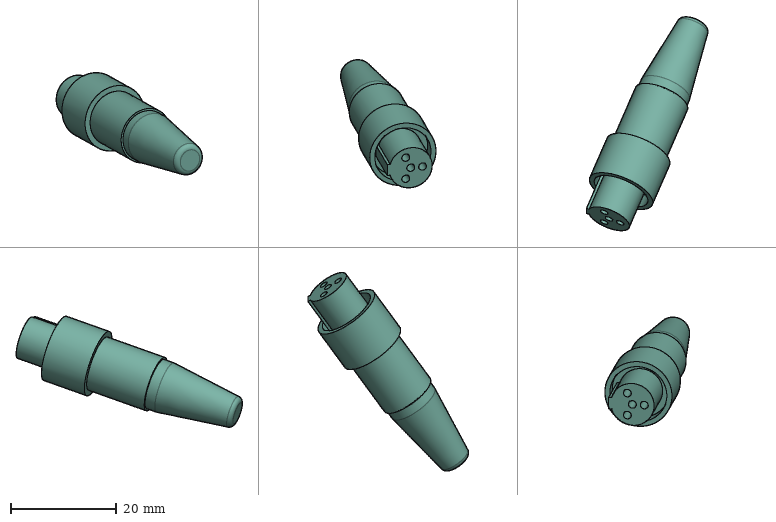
import cadquery as cq

overall_length = 44.25

insert_diameter = 8.4
key_reach = 4.6
key_width = 2.3

collar_start = 6.3
collar_end = 15.2
collar_diameter = 13.0
collar_bore_diameter = 11.0
bore_depth = 2.7
bore_floor = collar_start + bore_depth

socket_diameter = 1.5
side_socket_offset = 2.3
pair_socket_y = 0.97
pair_socket_z = 2.2
socket_depth = collar_start

body_end = 27.2
body_diameter = 10.8
boot_diameter = 10.0
taper_start = 29.25
taper_end_diameter = 6.0
tip_radius = 1.0


def axial_cylinder(diameter, start, end, y=0.0, z=0.0):
    """Cylinder parallel to X, centred on the given Y and Z."""
    return (
        cq.Workplane("YZ", origin=(start, y, z))
        .circle(diameter / 2)
        .extrude(end - start)
    )


def make_collar():
    shell = axial_cylinder(collar_diameter, collar_start, collar_end)
    bore = axial_cylinder(collar_bore_diameter, collar_start, bore_floor)
    return shell.cut(bore)


def make_insert():
    core = axial_cylinder(insert_diameter, 0, bore_floor)
    key = cq.Workplane("XY").box(
        bore_floor, key_reach, key_width, centered=(False, False, True)
    )
    return core.union(key)


def make_boot():
    boot = (
        cq.Workplane("XY")
        .moveTo(body_end, 0)
        .lineTo(body_end, boot_diameter / 2)
        .lineTo(taper_start, boot_diameter / 2)
        .lineTo(overall_length, taper_end_diameter / 2)
        .lineTo(overall_length, 0)
        .close()
        .revolve(360, (0, 0, 0), (1, 0, 0))
    )
    return boot.faces(">X").edges().fillet(tip_radius)


body = axial_cylinder(body_diameter, collar_end, body_end)
result = make_insert().union(make_collar()).union(body).union(make_boot())

socket_centers = [
    (0, 0),
    (-side_socket_offset, 0),
    (pair_socket_y, pair_socket_z),
    (pair_socket_y, -pair_socket_z),
]
for socket_y, socket_z in socket_centers:
    result = result.cut(axial_cylinder(socket_diameter, 0, socket_depth, socket_y, socket_z))